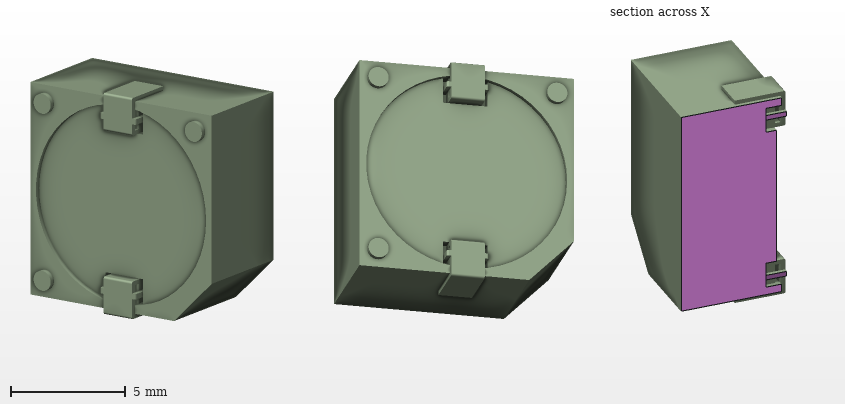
import cadquery as cq

total_depth = 5.0
total_height = 10.0
front_y = -total_depth / 2
rear_y = total_depth / 2

body_width = 9.6
standoff = 0.25
body_front_y = front_y + standoff
corner_chamfer = 2.0
recess_diameter = 9.0
recess_depth = 0.25
recess_floor_y = body_front_y + recess_depth

peg_diameter = 0.9
peg_offset = 4.0
peg_corners = [(-1, 1), (1, 1), (-1, -1)]

sheet = (total_height - body_width) / 2
terminal_width = 1.5
terminal_rear_y = -0.1
terminal_outer_z = total_height / 2
terminal_tip_z = 3.3
bend_radius = 0.1
wing_span = 1.9
wing_height = 0.25
wing_z = 3.95
foot_outer_z = 4.4

slot_clearance = 0.05
slot_width = wing_span + 2 * slot_clearance
slot_inner_z = terminal_tip_z - slot_clearance
slot_depth = 0.5
slot_floor_y = recess_floor_y + slot_depth


def box(x_range, y_range, z_range):
    """Axis-aligned block spanning the given ranges."""
    (x0, x1), (y0, y1), (z0, z1) = x_range, y_range, z_range
    return cq.Workplane("XY").box(x1 - x0, y1 - y0, z1 - z0, centered=False).translate((x0, y0, z0))


def disc(diameter, x, z, y_start, y_end):
    """Round disc with its axis along Y."""
    plane = cq.Workplane("XZ", origin=(x, y_start, z))
    return plane.circle(diameter / 2).extrude(y_start - y_end)


def centred(width):
    """Range of the given width about zero."""
    return (-width / 2, width / 2)


def make_housing():
    housing = box(centred(body_width), (body_front_y, rear_y), centred(body_width))
    housing = housing.edges("|Y and >X and <Z").chamfer(corner_chamfer)
    housing = housing.cut(disc(recess_diameter, 0, 0, body_front_y, recess_floor_y))

    rim = disc(recess_diameter, 0, 0, recess_floor_y, slot_floor_y)
    slot_y = (recess_floor_y, slot_floor_y)
    for z_range in [(slot_inner_z, recess_diameter / 2), (-recess_diameter / 2, -slot_inner_z)]:
        housing = housing.cut(box(centred(slot_width), slot_y, z_range).intersect(rim))

    for side_x, side_z in peg_corners:
        peg = disc(peg_diameter, side_x * peg_offset, side_z * peg_offset, front_y, body_front_y)
        housing = housing.union(peg)
    return housing


def make_terminal(mirrored):
    """Terminal on the upper edge of the housing, or its mirror image on the lower edge."""
    width = centred(terminal_width)
    top_leg_z = (terminal_outer_z - sheet, terminal_outer_z)
    strip = box(width, (front_y, terminal_rear_y), top_leg_z)
    strip = strip.union(box(width, (front_y, body_front_y), (terminal_tip_z, terminal_outer_z)))
    strip = strip.union(box(width, (front_y, slot_floor_y), (terminal_tip_z, terminal_tip_z + sheet)))
    strip = strip.union(box(width, (recess_floor_y, slot_floor_y), (terminal_tip_z, foot_outer_z)))
    strip = strip.edges("|X and <Y").fillet(bend_radius)

    wing_z_range = (wing_z - wing_height / 2, wing_z + wing_height / 2)
    wings = box(centred(wing_span), (front_y, slot_floor_y), wing_z_range)
    wings = wings.edges("|Z and <Y").fillet(bend_radius)
    inside = box(width, (body_front_y, recess_floor_y), wing_z_range)
    terminal = strip.union(wings.cut(inside))
    return terminal.mirror("XY") if mirrored else terminal


housing = make_housing()
terminals = [make_terminal(mirrored) for mirrored in (False, True)]

result = cq.Compound.makeCompound([housing.val(), *[terminal.val() for terminal in terminals]])